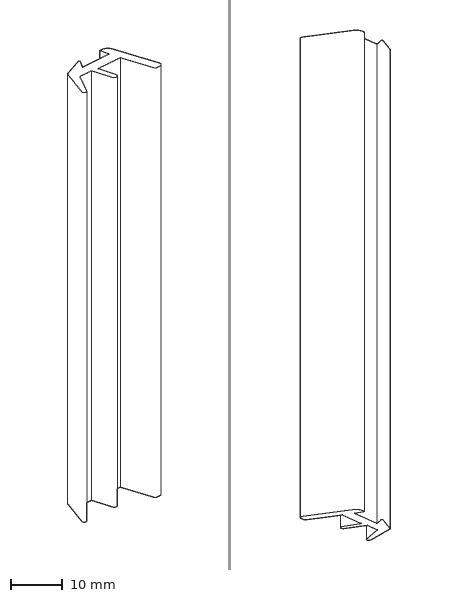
import cadquery as cq
import math

length = 100.0
width = 11.8
depth = 18.0

web_left = 2.1
web_right = 4.5
web_right_low = 4.2

arm_angle = 20.0
arm_thickness = 2.0
arm_tip_radius = 0.7
arm_low_tip_radius = 0.5
hook_radius = 1.7
hook_bottom = 12.2
hook_bottom_angle = 15.0

fin_reach = 9.1
fin_tip_radius = 0.6
fin_tip_y = 8.4
fin_root_top = 7.8
fin_root_bottom = 6.3
fin_top_angle = 18.0
fin_bottom_angle = 22.0

barb_tip_radius = 0.2
barb_tip_y = 6.7
barb_root_y = 5.9
barb_top_angle = 60.0
barb_side_angle = 205.0

heel = (1.9, 2.1)
lip_reach = 9.1
lip_tip_radius = 0.5
lip_root_y = 3.3
lip_top_angle = 63.0
lip_bottom_angle = 253.0


def on_circle(center, radius, angle):
    """Point on a circle at an angle in degrees from +X."""
    a = math.radians(angle)
    return (center[0] + radius * math.cos(a), center[1] + radius * math.sin(a))


def line_y(start, angle, x):
    """Height at x of a straight line through start."""
    return start[1] + (x - start[0]) * math.tan(math.radians(angle))


def add_round(outline, center, radius, start_angle, end_angle):
    """Draw a line to a rounded corner, then the arc around it."""
    middle_angle = (start_angle + end_angle) / 2
    return outline.lineTo(*on_circle(center, radius, start_angle)).threePointArc(
        on_circle(center, radius, middle_angle), on_circle(center, radius, end_angle)
    )


arm_normal = 90 + arm_angle
arm_tip = (width - arm_tip_radius, depth - arm_tip_radius)
arm_top = on_circle(arm_tip, arm_tip_radius, arm_normal)
arm_under = on_circle(arm_top, arm_thickness, arm_normal + 180)
arm_low_x = width - arm_low_tip_radius
arm_low_line = on_circle(arm_under, arm_low_tip_radius, arm_normal)
arm_low_tip = (arm_low_x, line_y(arm_low_line, arm_angle, arm_low_x))
hook_line = on_circle(arm_top, hook_radius, arm_normal + 180)
hook_center = (hook_radius, line_y(hook_line, arm_angle, hook_radius))
fin_tip = (fin_reach - fin_tip_radius, fin_tip_y)
barb_tip = (barb_tip_radius, barb_tip_y)
lip_tip = (lip_reach - lip_tip_radius, lip_tip_radius)

hook_end = (0, hook_bottom)
outline = cq.Workplane("XY").moveTo(*hook_end)
outline = add_round(outline, hook_center, hook_radius, 180, arm_normal)
outline = add_round(outline, arm_tip, arm_tip_radius, arm_normal, 0)
outline = add_round(outline, arm_low_tip, arm_low_tip_radius, 0, arm_normal - 180)
outline = outline.lineTo(web_right, line_y(arm_under, arm_angle, web_right))
outline = outline.lineTo(web_right, fin_root_top)
outline = add_round(outline, fin_tip, fin_tip_radius, 90 + fin_top_angle, fin_bottom_angle - 90)
outline = outline.lineTo(web_right_low, fin_root_bottom)
outline = outline.lineTo(web_right_low, lip_root_y)
outline = add_round(outline, lip_tip, lip_tip_radius, lip_top_angle, lip_bottom_angle - 360)
outline = outline.lineTo(*heel)
outline = add_round(outline, barb_tip, barb_tip_radius, barb_side_angle, barb_top_angle)
outline = outline.lineTo(web_left, barb_root_y)
outline = outline.lineTo(web_left, line_y(hook_end, hook_bottom_angle, web_left))

result = outline.close().extrude(length)